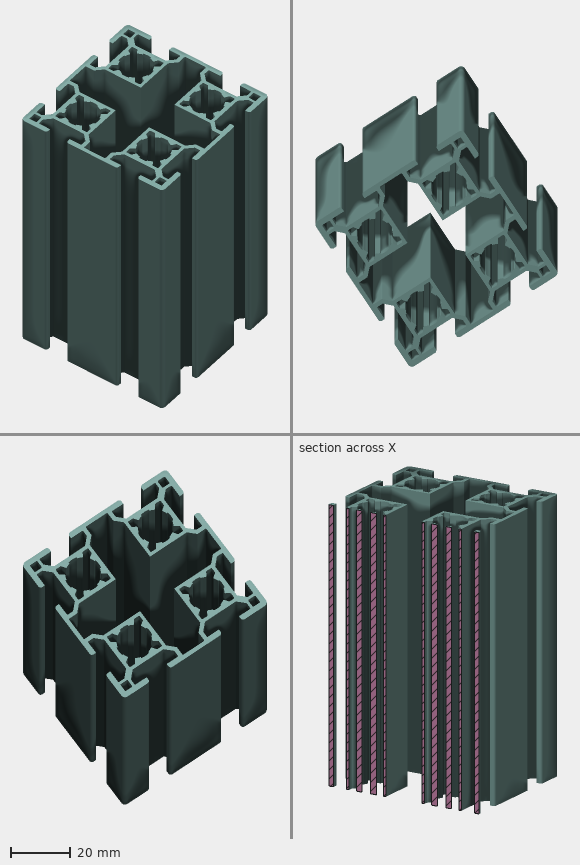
import cadquery as cq
import math

width = 60.0
length = 100.0
half = width / 2
corner_radius = 1.5

module = width / 2
core_offset = module / 2
core_size = 15.8
core_half = core_size / 2
core_wall = 1.15

slot_opening = 8.3
slot_width = 18.0
lip_thickness = 2.0
slot_depth = 7.0
slot_wall_end = 4.4
lip_edge_radius = 1.0

chamber_size = 3.0

inner_radius = 0.3

cover_thickness = 1.5
strut_thickness = 1.5

bore_radius = 6.05
relief_radius = 6.45
relief_half_angle = 15.0
pocket_angle = 34.0

quarter_turns = (0, 90, 180, 270)
core_centers = [(x, y) for x in (-core_offset, core_offset) for y in (-core_offset, core_offset)]


def prism(points):
    """Full-length prism over a closed polygon."""
    return cq.Workplane("XY").polyline(points).close().extrude(length)


def mirrored_outline(right_points):
    """Close a half outline by mirroring it across the Y axis."""
    return right_points + [(-x, y) for x, y in reversed(right_points)]


def round_corners(body, is_rounded):
    """Round the lengthwise edges whose (x, y) place passes the given test."""
    edges = body.edges("|Z").vals()
    chosen = [edge for edge in edges if is_rounded(edge.Center().x, edge.Center().y)]
    return body.newObject(chosen).fillet(inner_radius)


def outer_block():
    block = cq.Workplane("XY").rect(width, width).extrude(length)
    return block.edges("|Z").fillet(corner_radius)


def t_slot():
    """T-slot opening toward +Y, centred on x = 0, with rounded outer lip edges."""
    mouth = slot_opening / 2
    side = slot_width / 2
    bevel = slot_depth - slot_wall_end
    lip_back = half - lip_thickness
    wall_end = half - slot_wall_end
    floor = half - slot_depth
    right_wall = [(mouth, lip_back), (side, lip_back), (side, wall_end), (side - bevel, floor)]
    lip_straight_end = half - lip_edge_radius
    flare = mouth + lip_edge_radius
    arc_shift = lip_edge_radius * (1 - math.sqrt(0.5))
    arc_y = half - arc_shift
    arc_x = mouth + arc_shift
    slot = (
        cq.Workplane("XY")
        .moveTo(-flare, half)
        .lineTo(flare, half)
        .threePointArc((arc_x, arc_y), (mouth, lip_straight_end))
        .polyline(mirrored_outline(right_wall), includeCurrent=True)
        .lineTo(-mouth, lip_straight_end)
        .threePointArc((-arc_x, arc_y), (-flare, half))
        .close()
        .extrude(length)
    )
    mouth_limit = (mouth + side - bevel) / 2
    return round_corners(slot, lambda x, y: abs(x) > mouth_limit and y < lip_straight_end)


def cavity_arm():
    """Arm of the central cavity toward +Y, narrowing beside the T-slot struts."""
    arm_half = core_offset - core_half
    tip_half = core_offset - slot_width / 2 - strut_thickness
    tip = half - cover_thickness
    slot_bevel_sum = core_offset - slot_width / 2 + half - slot_wall_end
    cavity_bevel_sum = slot_bevel_sum - strut_thickness * math.sqrt(2)
    arm = prism(
        mirrored_outline(
            [
                (arm_half, -arm_half),
                (arm_half, cavity_bevel_sum - arm_half),
                (tip_half, cavity_bevel_sum - tip_half),
                (tip_half, tip),
            ]
        )
    )
    return round_corners(arm, lambda x, y: abs(x) < arm_half - inner_radius)


def corner_chamber():
    center = half - lip_thickness - chamber_size / 2
    chamber = cq.Workplane("XY").center(center, center).rect(chamber_size, chamber_size).extrude(length)
    return chamber.edges("|Z").fillet(inner_radius)


def core_opening():
    """Round bore with a wider arc facing each wall and a pocket reaching into each corner."""
    reach = core_half - core_wall
    offset = reach * math.tan(math.radians(pocket_angle))
    pocket = prism([(0, 0), (reach, offset), (reach, reach), (offset, reach)])
    spread = math.radians(relief_half_angle)
    relief_x = relief_radius * math.cos(spread)
    relief_y = relief_radius * math.sin(spread)
    relief = (
        cq.Workplane("XY")
        .lineTo(relief_x, -relief_y)
        .threePointArc((relief_radius, 0), (relief_x, relief_y))
        .close()
        .extrude(length)
    )
    opening = cq.Workplane("XY").circle(bore_radius).extrude(length)
    for angle in quarter_turns:
        opening = opening.union(pocket.rotate((0, 0, 0), (0, 0, 1), angle))
        opening = opening.union(relief.rotate((0, 0, 0), (0, 0, 1), angle))
    margin = 1.0

    def on_pocket(x, y):
        bearing = math.degrees(math.atan2(abs(y), abs(x)))
        return pocket_angle - margin < bearing < 90 - pocket_angle + margin

    return round_corners(opening, on_pocket)


def cut_on_all_sides(body, tool):
    for angle in quarter_turns:
        body = body.cut(tool.rotate((0, 0, 0), (0, 0, 1), angle))
    return body


profile = outer_block()
for slot_x in (-core_offset, core_offset):
    profile = cut_on_all_sides(profile, t_slot().translate((slot_x, 0, 0)))
profile = cut_on_all_sides(profile, cavity_arm())
profile = cut_on_all_sides(profile, corner_chamber())
for core_x, core_y in core_centers:
    profile = profile.cut(core_opening().translate((core_x, core_y, 0)))

result = profile